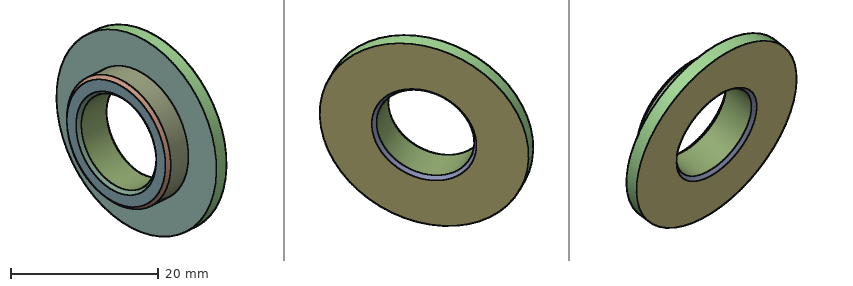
import cadquery as cq

flange_diameter = 30.0
hub_diameter = 19.5
bore_diameter = 14.0
total_length = 6.0
flange_thickness = 2.0
chamfer = 0.5

hub_length = total_length - flange_thickness


def cylinder_along_y(diameter, start_y, length):
    """Solid cylinder on the Y axis, running from start_y toward +Y."""
    return cq.Workplane(cq.Solid.makeCylinder(
        diameter / 2, length, cq.Vector(0, start_y, 0), cq.Vector(0, 1, 0)))


hub = cylinder_along_y(hub_diameter, 0, total_length)
flange = cylinder_along_y(flange_diameter, hub_length, flange_thickness)

bore = cylinder_along_y(bore_diameter, 0, total_length)
bushing = hub.union(flange).cut(bore)

bushing = bushing.faces("<Y").edges().chamfer(chamfer)

result = bushing.faces(">Y").edges(cq.selectors.RadiusNthSelector(0)).chamfer(chamfer)